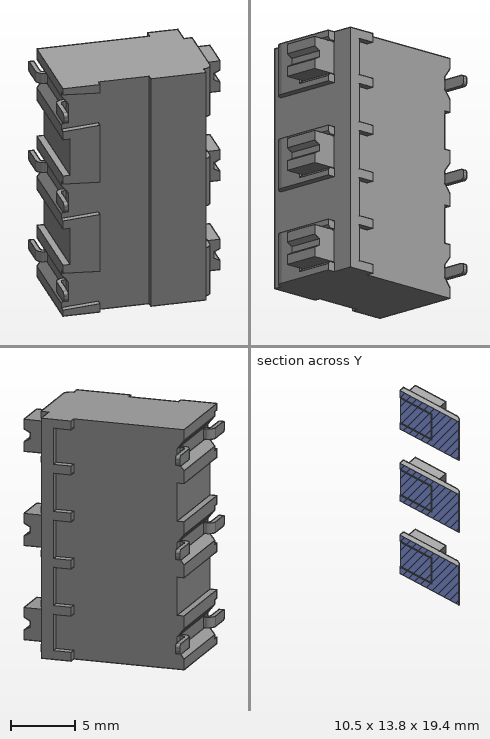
import cadquery as cq


block_length = 19.44
pole_pitch = 7.62
pole_centers = [-pole_pitch, 0.0, pole_pitch]
gap_centers = [-pole_pitch / 2, pole_pitch / 2]

front_y = 0.23
button_top_y = 13.85
head_y = 11.76
boss_height = 0.66
boss_y = head_y + boss_height

body_left = -3.62
lip_left = -4.25
body_right = 4.12
notch_right = 3.62

lip_bottom_y = 10.77
tooth_bottom_y = 9.31
tooth_width = 0.72
tooth_gap = pole_pitch / 2 - tooth_width

notch_bottom_y = 3.23
notch_top_y = 7.3
window_front_half = 1.57
window_back_half = 1.38

groove_depth = 0.56
groove_mouth_half = 1.22
groove_floor_half = 0.5
channel_width = tooth_gap

boss_left = -2.47
boss_right = 3.4
boss_half = 2.02
slot_right = 0.68
slot_half = 1.36
slot_chamfer = 0.21
button_left = -2.41
button_right = 0.62
button_half = 1.3
button_slot_mouth_half = 0.52
button_slot_floor_half = 0.25
button_slot_depth = 0.5

foot_tip = 5.25
strip_width = 0.85
strip_thickness = 0.37
bend_inner_radius = 0.23
bend_end_x = 2.55
strip_embed = 0.2
foot_corner_radius = 0.3


def box(x_min, x_max, y_min, y_max, z_center, height):
    """Box between the given X and Y limits, centred on z_center."""
    size_x = x_max - x_min
    size_y = y_max - y_min
    center = ((x_min + x_max) / 2, (y_min + y_max) / 2, z_center)
    return cq.Workplane("XY").box(size_x, size_y, height).translate(center)


def prism_along_x(yz_points, x_min, x_max, z_center):
    """Extrude a closed Y-Z outline from x_min to x_max, moved to z_center."""
    return (
        cq.Workplane("YZ", origin=(x_min, 0, z_center))
        .polyline(yz_points)
        .close()
        .extrude(x_max - x_min)
    )


def make_body():
    """Main block with the full-length undercut along its +X side."""
    block = box(body_left, body_right, front_y, head_y, 0, block_length)
    undercut = box(notch_right, body_right, notch_bottom_y, notch_top_y, 0, block_length)
    return block.cut(undercut)


def make_lip():
    """Lip on the -X side whose lower part is split into teeth by openings at each pole and each gap."""
    lip = box(lip_left, body_left, tooth_bottom_y, head_y, 0, block_length)
    opening_limit = block_length / 2 - tooth_width
    for z_center in pole_centers + gap_centers:
        z_min = max(z_center - tooth_gap / 2, -opening_limit)
        z_max = min(z_center + tooth_gap / 2, opening_limit)
        middle = (z_min + z_max) / 2
        lip = lip.cut(box(lip_left, body_left, tooth_bottom_y, lip_bottom_y, middle, z_max - z_min))
    return lip


def make_groove(z_center):
    """V-sided, flat-floored groove around one pole's contact."""
    floor_y = front_y + groove_depth
    outline = [
        (front_y, -groove_mouth_half),
        (floor_y, -groove_floor_half),
        (floor_y, groove_floor_half),
        (front_y, groove_mouth_half),
    ]
    return prism_along_x(outline, body_left, body_right, z_center)


def make_channel(z_center):
    """Rectangular channel between two poles."""
    return box(body_left, body_right, front_y, front_y + groove_depth, z_center, channel_width)


def make_window(z_center):
    """Tapered opening through the lower +X pad beside one contact."""
    outline = [
        (front_y, -window_front_half),
        (notch_bottom_y, -window_back_half),
        (notch_bottom_y, window_back_half),
        (front_y, window_front_half),
    ]
    return prism_along_x(outline, notch_right, body_right, z_center)


def make_boss(z_center):
    """Raised boss with a rounded +X shoulder and a slot, open to -X, for its button."""
    z_min = z_center - boss_half
    z_max = z_center + boss_half
    if z_center == pole_centers[0]:
        z_min = -block_length / 2
    if z_center == pole_centers[-1]:
        z_max = block_length / 2
    boss = (
        cq.Workplane("XY", origin=(0, 0, z_min))
        .moveTo(boss_left, head_y)
        .lineTo(boss_right, head_y)
        .radiusArc((boss_right - boss_height, boss_y), -boss_height)
        .lineTo(boss_left, boss_y)
        .close()
        .extrude(z_max - z_min)
    )
    mouth_half = slot_half + slot_chamfer
    slot_outline = [
        (head_y, -slot_half),
        (boss_y - slot_chamfer, -slot_half),
        (boss_y, -mouth_half),
        (boss_y, mouth_half),
        (boss_y - slot_chamfer, slot_half),
        (head_y, slot_half),
    ]
    return boss.cut(prism_along_x(slot_outline, boss_left, slot_right, z_center))


def make_button(z_center):
    """Push button with a tapered screwdriver slot across its face."""
    button = box(button_left, button_right, head_y, button_top_y, z_center, 2 * button_half)
    floor_y = button_top_y - button_slot_depth
    slot_outline = [
        (button_top_y, -button_slot_mouth_half),
        (floor_y, -button_slot_floor_half),
        (floor_y, button_slot_floor_half),
        (button_top_y, button_slot_mouth_half),
    ]
    return button.cut(prism_along_x(slot_outline, button_left, button_right, z_center))


def make_contact(z_center):
    """Contact on the +X side: flat foot at Y = 0, bent through 90 degrees into the body."""
    outer_radius = bend_inner_radius + strip_thickness
    bend_x = bend_end_x + outer_radius
    stem_end_y = front_y + groove_depth + strip_embed
    return (
        cq.Workplane("XY", origin=(0, 0, z_center - strip_width / 2))
        .moveTo(foot_tip, 0)
        .lineTo(bend_x, 0)
        .radiusArc((bend_end_x, outer_radius), outer_radius)
        .lineTo(bend_end_x, stem_end_y)
        .lineTo(bend_end_x + strip_thickness, stem_end_y)
        .lineTo(bend_end_x + strip_thickness, outer_radius)
        .radiusArc((bend_x, strip_thickness), -bend_inner_radius)
        .lineTo(foot_tip, strip_thickness)
        .close()
        .extrude(strip_width)
        .edges("|Y and >X")
        .fillet(foot_corner_radius)
    )


result = make_body().union(make_lip())

for gap_center in gap_centers:
    result = result.cut(make_channel(gap_center))

for pole_center in pole_centers:
    result = result.cut(make_groove(pole_center)).cut(make_window(pole_center))
    result = result.union(make_boss(pole_center)).union(make_button(pole_center))
    right_contact = make_contact(pole_center)
    left_contact = right_contact.mirror("YZ")
    result = result.union(right_contact).union(left_contact)